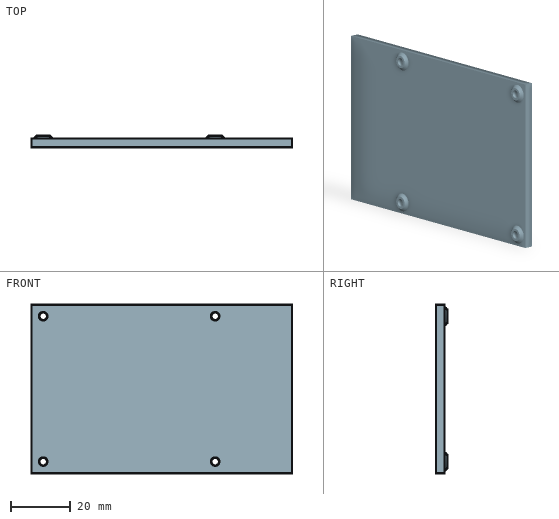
import cadquery as cq

plate_length = 88.0
plate_height = 57.0
plate_thickness = 3.0

boss_height = 1.0
boss_base_diameter = 6.2
boss_top_diameter = 4.2
hole_diameter = 2.6

hole_edge_distance = 4.0
hole_spacing_x = 58.1
hole_spacing_z = plate_height - 2 * hole_edge_distance
hole_positions = [
    (hole_edge_distance + column * hole_spacing_x, hole_edge_distance + row * hole_spacing_z)
    for column in range(2)
    for row in range(2)
]


def make_boss(x, z):
    """Truncated cone standing on the back face of the plate."""
    return cq.Workplane(
        cq.Solid.makeCone(
            boss_base_diameter / 2,
            boss_top_diameter / 2,
            boss_height,
            pnt=cq.Vector(x, plate_thickness, z),
            dir=cq.Vector(0, 1, 0),
        )
    )


def make_hole(x, z):
    """Cylinder passing through the plate and its boss."""
    return cq.Workplane(
        cq.Solid.makeCylinder(
            hole_diameter / 2,
            plate_thickness + boss_height,
            pnt=cq.Vector(x, 0, z),
            dir=cq.Vector(0, 1, 0),
        )
    )


result = cq.Workplane("XY").box(plate_length, plate_thickness, plate_height, centered=False)

for x, z in hole_positions:
    result = result.union(make_boss(x, z)).cut(make_hole(x, z))